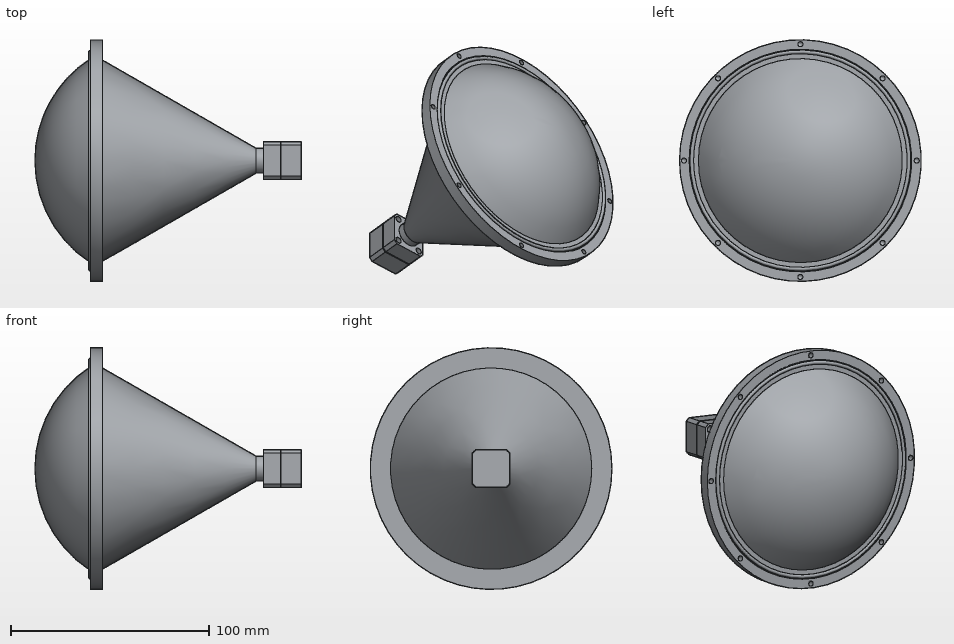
import cadquery as cq
import math

TOTAL_LENGTH = 134.6
FLANGE_FRONT = 28.0
FLANGE_THICKNESS = 6.2
FLANGE_BACK = FLANGE_FRONT + FLANGE_THICKNESS
CONE_END = 111.5
BLOCK_FRONT = 115.2
BLOCK_JOINT = 124.0

FLANGE_RADIUS = 61.0
CONE_BASE_RADIUS = 50.7
THROAT_RADIUS = 6.3

LENS_RADIUS = 51.4

SEAL_TUBE_RADIUS = 1.0
SEAL_STAND_OUT = 0.8
GROOVE_INNER_RADIUS = 53.8
GROOVE_OUTER_RADIUS = 56.1
SEAL_MEAN_RADIUS = GROOVE_INNER_RADIUS + SEAL_TUBE_RADIUS
SEAL_CENTER_X = FLANGE_FRONT - SEAL_STAND_OUT + SEAL_TUBE_RADIUS
GROOVE_DEPTH = 2 * SEAL_TUBE_RADIUS - SEAL_STAND_OUT

FLANGE_HOLE_COUNT = 8
FLANGE_HOLE_CIRCLE_RADIUS = 58.7
FLANGE_HOLE_RADIUS = 1.28
FLANGE_HOLE_DEPTH = 4.0
DRILL_POINT_ANGLE = 118.0

BLOCK_SIZE = 19.1
BLOCK_CORNER_CHAMFER = 1.7
BLOCK_EDGE_CHAMFER = 0.3
BLOCK_HOLE_SPACING = 13.5
BLOCK_HOLE_DIAMETER = 3.4


def revolved_about_x(profile):
    """Turn a closed XY profile a full circle about the X axis."""
    return profile.revolve(360, (0, 0, 0), (1, 0, 0))


def make_flange_hole_cutter():
    """A drill shape that enters the flange face at the top of the hole circle."""
    point_length = FLANGE_HOLE_RADIUS / math.tan(math.radians(DRILL_POINT_ANGLE / 2))
    hole_bottom = FLANGE_FRONT + FLANGE_HOLE_DEPTH
    profile = (
        cq.Workplane("XY")
        .moveTo(FLANGE_FRONT, 0)
        .lineTo(FLANGE_FRONT, FLANGE_HOLE_RADIUS)
        .lineTo(hole_bottom, FLANGE_HOLE_RADIUS)
        .lineTo(hole_bottom + point_length, 0)
        .close()
    )
    return revolved_about_x(profile).translate((0, 0, FLANGE_HOLE_CIRCLE_RADIUS))


def make_horn():
    """Flange, cone and throat in one turned piece, with the seal groove and the flange holes."""
    profile = (
        cq.Workplane("XY")
        .moveTo(FLANGE_FRONT, 0)
        .lineTo(FLANGE_FRONT, FLANGE_RADIUS)
        .lineTo(FLANGE_BACK, FLANGE_RADIUS)
        .lineTo(FLANGE_BACK, CONE_BASE_RADIUS)
        .lineTo(CONE_END, THROAT_RADIUS)
        .lineTo(BLOCK_FRONT, THROAT_RADIUS)
        .lineTo(BLOCK_FRONT, 0)
        .close()
    )
    horn = revolved_about_x(profile)

    groove = (
        cq.Workplane("YZ", origin=(FLANGE_FRONT, 0, 0))
        .circle(GROOVE_OUTER_RADIUS)
        .circle(GROOVE_INNER_RADIUS)
        .extrude(GROOVE_DEPTH)
    )
    horn = horn.cut(groove)

    cutter = make_flange_hole_cutter()
    for index in range(FLANGE_HOLE_COUNT):
        angle = index * 360 / FLANGE_HOLE_COUNT
        horn = horn.cut(cutter.rotate((0, 0, 0), (1, 0, 0), angle))
    return horn


def make_lens():
    """Spherical dome with a flat back seated on the flange face."""
    sphere_radius = (LENS_RADIUS**2 + FLANGE_FRONT**2) / (2 * FLANGE_FRONT)
    half_angle = math.asin(LENS_RADIUS / sphere_radius) / 2
    arc_middle = (
        sphere_radius * (1 - math.cos(half_angle)),
        sphere_radius * math.sin(half_angle),
    )
    profile = (
        cq.Workplane("XY")
        .threePointArc(arc_middle, (FLANGE_FRONT, LENS_RADIUS))
        .lineTo(FLANGE_FRONT, 0)
        .close()
    )
    return revolved_about_x(profile)


def make_seal_ring():
    """Round-section ring standing out of the flange groove."""
    profile = cq.Workplane("XY").moveTo(SEAL_CENTER_X, SEAL_MEAN_RADIUS).circle(SEAL_TUBE_RADIUS)
    return revolved_about_x(profile)


def make_block(front, back):
    """Square block between two X positions with bevelled long edges."""
    return (
        cq.Workplane("YZ", origin=(front, 0, 0))
        .rect(BLOCK_SIZE, BLOCK_SIZE)
        .extrude(back - front)
        .edges("|X")
        .chamfer(BLOCK_CORNER_CHAMFER)
    )


def make_front_block():
    """Block on the throat, with four bolt holes through it."""
    return (
        make_block(BLOCK_FRONT, BLOCK_JOINT)
        .faces("<X")
        .workplane()
        .rect(BLOCK_HOLE_SPACING, BLOCK_HOLE_SPACING, forConstruction=True)
        .vertices()
        .hole(BLOCK_HOLE_DIAMETER)
    )


def make_end_block():
    """Closing block with bevelled rims on both ends."""
    return make_block(BLOCK_JOINT, TOTAL_LENGTH).faces("<X or >X").chamfer(BLOCK_EDGE_CHAMFER)


horn = make_horn()
lens = make_lens()
seal_ring = make_seal_ring()
front_block = make_front_block()
end_block = make_end_block()

result = cq.Compound.makeCompound(
    [horn.val(), lens.val(), seal_ring.val(), front_block.val(), end_block.val()]
)